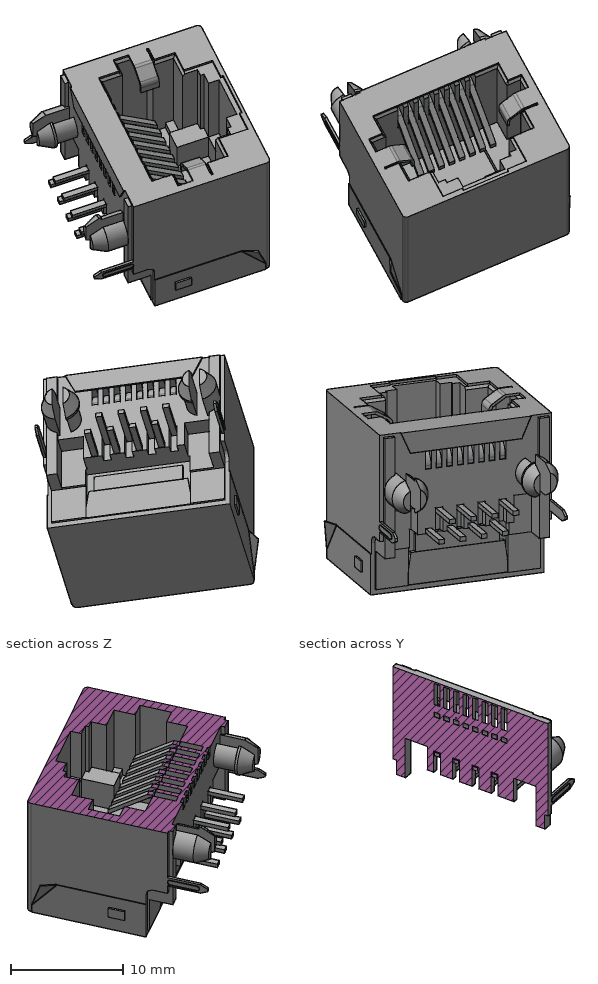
import cadquery as cq
import math


HALF_WIDTH = 8.23
HEIGHT = 15.74
BACK_RADIUS = 0.4
SHEET = 0.23
SHIELD_DEPTH = 13.22
SKIRT_DEPTH = 11.2
SKIRT_TOP = 5.7
SKIRT_RADIUS = 0.75
BODY_HALF = 7.88
BODY_BOTTOM = 0.52

BASE_DEPTH = 11.4
RAIL_DEPTH = 13.6
RAIL_INNER = 6.91
RAIL_BOTTOM = 4.15
OVERHANG_HALF = 4.6
OVERHANG_BOTTOM = 5.88
SIDE_POCKET_TOP = 8.41
SIDE_POCKET_DEPTH = 11.62
PANEL_DEPTH = 13.36
PANEL_TOP_HALF = 6.24
PANEL_BOTTOM_HALF = 5.33
PANEL_BOTTOM = 13.7
PLATE_HALF = 4.75
PLATE_FRAME_DEPTH = 10.9
PLATE_DEPTH = 11.32
PLATE_TAB_DEPTH = 11.26
PLATE_TAB_HALF = 4.03
PLATE_TAB_TOP = 5.22
PLATE_TOP = 3.56
PLATE_TOP_HALF = 4.49
PLATE_KNEE = 1.7

PIN_COUNT = 8
PIN_PITCH = 1.02
PIN_WIDTH = 0.55
PIN_HEIGHT = 0.43
PIN_TIP_DEPTH = 16.43
UPPER_PIN_Z = 7.93
LOWER_PIN_Z = 6.15
PIN_GROOVE_WIDTH = 0.7
PIN_GROOVE_TOP = 8.2
PIN_GROOVE_DEPTH = 0.71
WINDOW_BOTTOM = 11.95
CONTACT_BEND_Z = 12.26
CONTACT_FRONT = 13.1
CONTACT_REAR = 6.18
CONTACT_REAR_Z = 9.98
CONTACT_RADIUS = 1.51
CONTACT_THICKNESS = 0.4

MOUTH_HALF = 6.2
MOUTH_BACK = 3.28
MOUTH_FRONT = 10.6
WING_HALF = 7.54
WING_BACK = 5.27
WING_FRONT = 8.65
LEAD_IN = 0.23
FLOOR = 4.63
SHELF_FLOOR = 5.35
BACK_STRIP_FLOOR = 6.05
BACK_STRIP_FRONT = 4.3
KEY_HALF = 3.83
KEY_BACK = 2.08
KEY_STEP_HALF = 3.15
KEY_STEP_BACK = 1.75
LATCH_HALF = 2.07
LATCH_BACK = 0.73
STOP_FRONT = 4.8
STOP_FLOOR = 7.48
SHEET_KEY_HALF = 4.12
SHEET_KEY_BACK = 0.52
SHEET_LATCH_HALF = 2.21
SHEET_LATCH_BACK = 0.29

TONGUE_BACK = 5.45
TONGUE_FRONT = 7.2
TONGUE_ROOT = 6.27
TONGUE_BEND = 5.99
TONGUE_BEND_Z = 15.66
TONGUE_KNEE = 4.88
TONGUE_KNEE_Z = 14.97
TONGUE_TIP = 4.6
TONGUE_LEG_TOP = 14.43
TONGUE_BOTTOM = 13.72

PEG_Z = 10.46
PEG_SHOULDER = 15.52
PEG_END = 16.77
OUTER_PEG_X = 6.36
OUTER_PEG_RADIUS = 1.59
OUTER_PEG_TIP_RADIUS = 1.0
OUTER_PEG_FLAT = 6.7
INNER_PEG_X = 6.2
INNER_PEG_RADIUS = 1.43
INNER_PEG_FLANGE_RADIUS = 1.7
INNER_PEG_FLANGE = 15.29
INNER_PEG_TIP_RADIUS = 1.07
INNER_PEG_FLAT = 5.72

TAB_Z = 7.07
TAB_HALF_HEIGHT = 0.5
TAB_INNER = 8.0
TAB_TAPER = 16.3
TAB_TIP = 16.98
TAB_TIP_HALF = 0.15
BEAD_HALF_HEIGHT = 0.27
BEAD_END = 16.22
FLAP_FACE = 8.3
FLAP_BACK = 0.5
FLAP_TOP = 3.87
FOLD_BOTTOM = 0.8
FOLD_FRONT = 2.87
BARB_X = 8.91
BARB_DEPTH = 1.5
BARB_SHEET = 0.1
BUMP_FACE = 8.46
BUMP_BACK = 7.7
BUMP_FRONT = 9.25
BUMP_BOTTOM = 1.55
BUMP_TOP = 2.6
BUMP_RADIUS = 0.15


def block(x_min, x_max, back, front, bottom, top):
    """Box between two X planes, two depths and two heights."""
    size = (x_max - x_min, front - back, top - bottom)
    return cq.Workplane("XY").box(*size, centered=False).translate((x_min, -front, bottom))


def plan_prism(points, bottom, top):
    """Vertical prism from (x, depth) points."""
    outline = cq.Workplane("XY").workplane(offset=bottom).polyline([(x, -d) for x, d in points]).close()
    return outline.extrude(top - bottom)


def side_prism(points, x_min, x_max):
    """Prism along X from (depth, z) points."""
    outline = cq.Workplane("YZ").workplane(offset=x_min).polyline([(-d, z) for d, z in points]).close()
    return outline.extrude(x_max - x_min)


def front_prism(points, back, front):
    """Prism along depth from (x, z) points."""
    outline = cq.Workplane("XZ").workplane(offset=back).polyline(points).close()
    return outline.extrude(front - back)


def both_sides(shape):
    """The shape together with its mirror image across X = 0."""
    return shape.union(shape.mirror("YZ"))


def mirrored_outline(half_points):
    """Closed outline from the points of its +X half."""
    return half_points + [(-x, d) for x, d in reversed(half_points)]


def make_body():
    body = block(-HALF_WIDTH, HALF_WIDTH, 0, SHIELD_DEPTH, 0, HEIGHT)
    body = body.edges("|Z and >Y").fillet(BACK_RADIUS)

    skirt_cut = block(-HALF_WIDTH, HALF_WIDTH, SKIRT_DEPTH, RAIL_DEPTH, 0, SKIRT_TOP)
    skirt_cut = skirt_cut.edges("|X and >Y and >Z").fillet(SKIRT_RADIUS)
    body = body.cut(skirt_cut)

    base = block(-BODY_HALF, BODY_HALF, SKIRT_DEPTH, BASE_DEPTH, BODY_BOTTOM, SKIRT_TOP)
    body = body.union(base)
    pocket_wall = block(
        OVERHANG_HALF, RAIL_INNER, SKIRT_DEPTH, SIDE_POCKET_DEPTH, RAIL_BOTTOM, SIDE_POCKET_TOP
    )
    pocket = block(
        OVERHANG_HALF, RAIL_INNER, SIDE_POCKET_DEPTH, SHIELD_DEPTH, RAIL_BOTTOM, SIDE_POCKET_TOP
    )
    body = body.union(both_sides(pocket_wall)).cut(both_sides(pocket))
    under_overhang = block(
        -OVERHANG_HALF, OVERHANG_HALF, BASE_DEPTH, SHIELD_DEPTH, BODY_BOTTOM, OVERHANG_BOTTOM
    )
    body = body.cut(under_overhang)
    rail = block(RAIL_INNER, BODY_HALF, SKIRT_DEPTH, RAIL_DEPTH, RAIL_BOTTOM, HEIGHT - SHEET)
    body = body.union(both_sides(rail))

    panel = front_prism(
        [
            (-PANEL_TOP_HALF, HEIGHT),
            (PANEL_TOP_HALF, HEIGHT),
            (PANEL_BOTTOM_HALF, PANEL_BOTTOM),
            (-PANEL_BOTTOM_HALF, PANEL_BOTTOM),
        ],
        SHIELD_DEPTH,
        PANEL_DEPTH,
    )
    return body.union(panel)


def add_cover_plate(body):
    """Opening in the base face, filled by a cover plate with a tab above it."""
    opening = block(
        -PLATE_HALF, PLATE_HALF, PLATE_FRAME_DEPTH, SIDE_POCKET_DEPTH, BODY_BOTTOM, OVERHANG_BOTTOM
    )
    plate = front_prism(
        [
            (-PLATE_HALF, BODY_BOTTOM),
            (PLATE_HALF, BODY_BOTTOM),
            (PLATE_HALF, PLATE_KNEE),
            (PLATE_TOP_HALF, PLATE_TOP),
            (-PLATE_TOP_HALF, PLATE_TOP),
            (-PLATE_HALF, PLATE_KNEE),
        ],
        PLATE_FRAME_DEPTH,
        PLATE_DEPTH,
    )
    tab = block(
        -PLATE_TAB_HALF, PLATE_TAB_HALF, PLATE_FRAME_DEPTH, PLATE_TAB_DEPTH, PLATE_TOP, PLATE_TAB_TOP
    )
    return body.cut(opening).union(plate).union(tab)


def make_plug_opening():
    """Volume removed for the plug: sheet cut-out, chamfered mouth, and cavity."""
    plastic_top = HEIGHT - SHEET
    throat_top = plastic_top - LEAD_IN

    mouth_half_outline = [
        (MOUTH_HALF, MOUTH_FRONT),
        (MOUTH_HALF, WING_FRONT),
        (WING_HALF, WING_FRONT),
        (WING_HALF, WING_BACK),
        (MOUTH_HALF, WING_BACK),
        (MOUTH_HALF, MOUTH_BACK),
    ]
    sheet_half_outline = mouth_half_outline + [
        (SHEET_KEY_HALF, MOUTH_BACK),
        (SHEET_KEY_HALF, SHEET_KEY_BACK),
        (SHEET_LATCH_HALF, SHEET_KEY_BACK),
        (SHEET_LATCH_HALF, SHEET_LATCH_BACK),
    ]
    opening = plan_prism(mirrored_outline(sheet_half_outline), plastic_top, HEIGHT)

    lead_in = (
        cq.Workplane("XY")
        .workplane(offset=plastic_top)
        .polyline([(x, -d) for x, d in mirrored_outline(mouth_half_outline)])
        .close()
        .extrude(-LEAD_IN, taper=45)
    )
    opening = opening.union(lead_in)

    throat_half = MOUTH_HALF - LEAD_IN
    throat_front = MOUTH_FRONT - LEAD_IN
    slot_half = WING_HALF - LEAD_IN
    slot_back = WING_BACK + LEAD_IN
    slot_front = WING_FRONT - LEAD_IN
    throat_half_outline = [
        (throat_half, throat_front),
        (throat_half, slot_front),
        (slot_half, slot_front),
        (slot_half, slot_back),
        (throat_half, slot_back),
        (throat_half, BACK_STRIP_FRONT),
    ]
    opening = opening.union(plan_prism(mirrored_outline(throat_half_outline), SHELF_FLOOR, throat_top))
    opening = opening.union(
        block(-throat_half, throat_half, MOUTH_BACK + LEAD_IN, BACK_STRIP_FRONT, BACK_STRIP_FLOOR, throat_top)
    )

    key_half_outline = [
        (KEY_HALF, STOP_FRONT),
        (KEY_HALF, KEY_BACK),
        (KEY_STEP_HALF, KEY_BACK),
        (KEY_STEP_HALF, KEY_STEP_BACK),
    ]
    opening = opening.union(plan_prism(mirrored_outline(key_half_outline), STOP_FLOOR, plastic_top))
    opening = opening.union(
        block(-LATCH_HALF, LATCH_HALF, LATCH_BACK, KEY_STEP_BACK, STOP_FLOOR, plastic_top)
    )
    opening = opening.union(block(-LATCH_HALF, LATCH_HALF, KEY_STEP_BACK, STOP_FRONT, FLOOR, plastic_top))
    opening = opening.union(block(-KEY_HALF, KEY_HALF, STOP_FRONT, throat_front, FLOOR, plastic_top))
    stop = block(LATCH_HALF, KEY_HALF, MOUTH_BACK, STOP_FRONT, FLOOR, STOP_FLOOR)
    return opening.cut(both_sides(stop))


def make_tongue():
    """Sheet tongue bent down into the opening, +X side."""
    return (
        cq.Workplane("XZ")
        .workplane(offset=TONGUE_BACK)
        .moveTo(WING_HALF, HEIGHT)
        .lineTo(TONGUE_ROOT, HEIGHT)
        .tangentArcPoint((TONGUE_BEND, TONGUE_BEND_Z), relative=False)
        .lineTo(TONGUE_KNEE, TONGUE_KNEE_Z)
        .tangentArcPoint((TONGUE_TIP, TONGUE_LEG_TOP), relative=False)
        .lineTo(TONGUE_TIP, TONGUE_BOTTOM)
        .lineTo(TONGUE_TIP + SHEET, TONGUE_BOTTOM)
        .lineTo(TONGUE_TIP + SHEET, TONGUE_LEG_TOP)
        .lineTo(TONGUE_KNEE + SHEET / 2, TONGUE_KNEE_Z - SHEET)
        .lineTo(TONGUE_ROOT, HEIGHT - SHEET)
        .lineTo(WING_HALF, HEIGHT - SHEET)
        .close()
        .extrude(TONGUE_FRONT - TONGUE_BACK)
    )


def make_contact(x):
    """Spring contact: bent over behind its window, sloping down into the cavity."""
    bend_centre = CONTACT_FRONT - CONTACT_RADIUS
    inner_radius = CONTACT_RADIUS - CONTACT_THICKNESS
    slope = math.atan2(CONTACT_BEND_Z + CONTACT_RADIUS - CONTACT_REAR_Z, bend_centre - CONTACT_REAR)

    def on_bend(radius, angle):
        return (-bend_centre - radius * math.cos(angle), CONTACT_BEND_Z + radius * math.sin(angle))

    bend_end = math.pi / 2 + slope
    drop = CONTACT_THICKNESS / math.cos(slope)
    profile = (
        cq.Workplane("YZ")
        .workplane(offset=x - PIN_WIDTH / 2)
        .moveTo(-CONTACT_FRONT, WINDOW_BOTTOM - PIN_HEIGHT)
        .lineTo(-CONTACT_FRONT, CONTACT_BEND_Z)
        .threePointArc(on_bend(CONTACT_RADIUS, bend_end / 2), on_bend(CONTACT_RADIUS, bend_end))
        .lineTo(-CONTACT_REAR, CONTACT_REAR_Z)
        .lineTo(-CONTACT_REAR, CONTACT_REAR_Z - drop)
        .lineTo(*on_bend(inner_radius, bend_end))
        .threePointArc(on_bend(inner_radius, bend_end / 2), on_bend(inner_radius, 0))
        .lineTo(-CONTACT_FRONT + CONTACT_THICKNESS, WINDOW_BOTTOM - PIN_HEIGHT)
        .close()
    )
    return profile.extrude(PIN_WIDTH)


def add_contacts(body):
    """Windows, spring contacts and two staggered rows of solder pins."""
    half_width = PIN_WIDTH / 2
    window_top = HEIGHT - SHEET
    window_back = MOUTH_FRONT - LEAD_IN
    groove_back = SHIELD_DEPTH - PIN_GROOVE_DEPTH
    for i in range(PIN_COUNT):
        x = (i - (PIN_COUNT - 1) / 2) * PIN_PITCH
        window = block(
            x - half_width, x + half_width,
            window_back, SHIELD_DEPTH,
            WINDOW_BOTTOM, window_top,
        )
        body = body.cut(window).union(make_contact(x))
        in_upper_row = i % 2 == 1
        pin_z = UPPER_PIN_Z if in_upper_row else LOWER_PIN_Z
        if in_upper_row:
            groove_half = PIN_GROOVE_WIDTH / 2
            body = body.cut(
                block(
                    x - groove_half, x + groove_half,
                    groove_back, SHIELD_DEPTH,
                    OVERHANG_BOTTOM, PIN_GROOVE_TOP,
                )
            )
        pin = block(
            x - half_width, x + half_width,
            BASE_DEPTH, PIN_TIP_DEPTH,
            pin_z - PIN_HEIGHT / 2, pin_z + PIN_HEIGHT / 2,
        )
        body = body.union(pin)
    return body


def turned_peg(x, profile):
    """Solid of revolution about the depth axis from (radius, depth) points."""
    outline = cq.Workplane("XY").polyline([(r, -d) for r, d in profile]).close()
    return outline.revolve(360, (0, 0, 0), (0, 1, 0)).translate((x, 0, PEG_Z))


def make_split_peg():
    """Split snap peg on the +X side: plain outer half and barbed inner half."""
    outer = turned_peg(
        OUTER_PEG_X,
        [
            (0, BASE_DEPTH),
            (OUTER_PEG_RADIUS, BASE_DEPTH),
            (OUTER_PEG_RADIUS, PEG_SHOULDER),
            (OUTER_PEG_TIP_RADIUS, PEG_END),
            (0, PEG_END),
        ],
    )
    inner = turned_peg(
        INNER_PEG_X,
        [
            (0, BASE_DEPTH),
            (INNER_PEG_RADIUS, BASE_DEPTH),
            (INNER_PEG_RADIUS, INNER_PEG_FLANGE),
            (INNER_PEG_FLANGE_RADIUS, INNER_PEG_FLANGE),
            (INNER_PEG_FLANGE_RADIUS, PEG_SHOULDER),
            (INNER_PEG_TIP_RADIUS, PEG_END),
            (0, PEG_END),
        ],
    )
    outer_space = block(OUTER_PEG_FLAT, BODY_HALF, SHIELD_DEPTH - SHEET, RAIL_DEPTH, 0, HEIGHT)
    outer_space = outer_space.union(block(OUTER_PEG_FLAT, HALF_WIDTH, RAIL_DEPTH, PEG_END, 0, HEIGHT))
    outer = outer.intersect(outer_space)
    inner = inner.intersect(block(0, INNER_PEG_FLAT, SHIELD_DEPTH - SHEET, PEG_END, 0, HEIGHT))
    return outer.union(inner)


def make_ground_tab():
    """Solder tab of the shield with its stiffening bead, +X side."""
    tab = side_prism(
        [
            (SKIRT_DEPTH, TAB_Z - TAB_HALF_HEIGHT),
            (TAB_TAPER, TAB_Z - TAB_HALF_HEIGHT),
            (TAB_TIP, TAB_Z - TAB_TIP_HALF),
            (TAB_TIP, TAB_Z + TAB_TIP_HALF),
            (TAB_TAPER, TAB_Z + TAB_HALF_HEIGHT),
            (SKIRT_DEPTH, TAB_Z + TAB_HALF_HEIGHT),
        ],
        TAB_INNER,
        HALF_WIDTH,
    )
    bead_length = BEAD_END - SHIELD_DEPTH
    bead = (
        cq.Workplane("YZ")
        .workplane(offset=TAB_INNER)
        .center(-(SHIELD_DEPTH + BEAD_END) / 2, TAB_Z)
        .slot2D(bead_length, 2 * BEAD_HALF_HEIGHT)
        .extrude(FLAP_FACE - TAB_INNER)
    )
    return tab.union(bead)


def make_side_flap():
    """Lower shield flap with its folded-out barb and embossed bump, +X side."""
    flap = side_prism(
        [
            (FLAP_BACK, 0),
            (SKIRT_DEPTH, 0),
            (SKIRT_DEPTH, FLAP_TOP),
            (FOLD_FRONT, FLAP_TOP),
            (FLAP_BACK, FOLD_BOTTOM),
        ],
        HALF_WIDTH - SHEET,
        FLAP_FACE,
    )
    bump = block(HALF_WIDTH, BUMP_FACE, BUMP_BACK, BUMP_FRONT, BUMP_BOTTOM, BUMP_TOP)
    bump = bump.edges("|X and >Y").fillet(BUMP_RADIUS)

    fold_low = cq.Vector(FLAP_FACE, -FLAP_BACK, FOLD_BOTTOM)
    fold_high = cq.Vector(FLAP_FACE, -FOLD_FRONT, FLAP_TOP)
    barb_tip = cq.Vector(BARB_X, -BARB_DEPTH, FLAP_TOP)
    normal = (fold_high - fold_low).cross(barb_tip - fold_low).normalized()
    triangle = cq.Face.makeFromWires(cq.Wire.makePolygon([fold_low, fold_high, barb_tip, fold_low]))
    barb = cq.Solid.extrudeLinear(triangle, normal * BARB_SHEET)
    return flap.union(bump).union(cq.Workplane(barb))


jack = add_cover_plate(make_body())
jack = jack.cut(make_plug_opening())
jack = jack.union(both_sides(make_tongue()))
jack = add_contacts(jack)
jack = jack.union(both_sides(make_split_peg()))
jack = jack.union(both_sides(make_ground_tab()))
jack = jack.union(both_sides(make_side_flap()))
result = jack